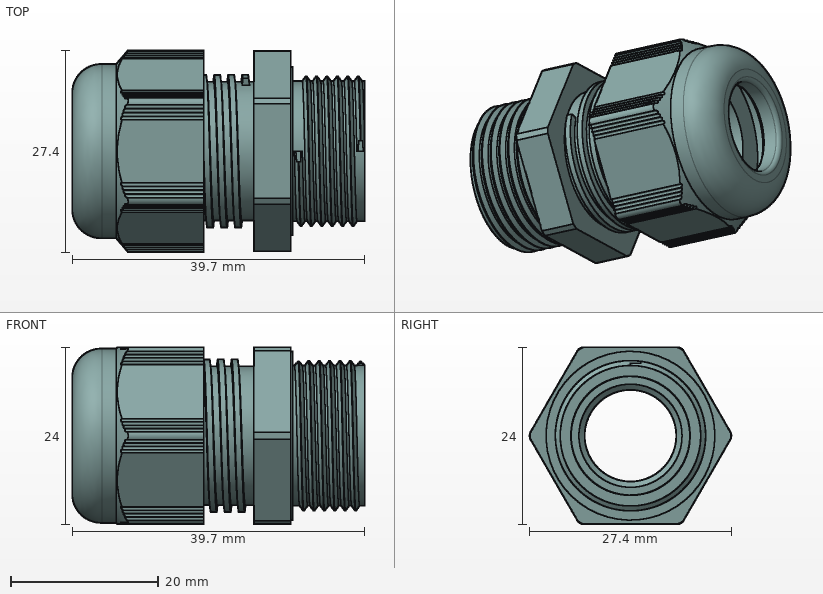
import cadquery as cq
import math


TOTAL_LENGTH = 39.73
ACROSS_FLATS = 24.0
HEX_APOTHEM = ACROSS_FLATS / 2
HEX_CORNER_DIAMETER = ACROSS_FLATS / math.cos(math.radians(30))
HEX_SIDES = 6

CAP_LENGTH = 17.9
DOME_DIAMETER = 23.7
DOME_FILLET = 4.0
DOME_LENGTH = 6.0
CAP_CONE_LENGTH = 1.75
CAP_CORNER_FILLET = 1.0
LIP_BORE_DIAMETER = 12.4
LIP_FILLET = 0.6
LIP_CYLINDER_END = 2.5
LIP_END = 3.2
LIP_FLARE_DIAMETER = 14.0
CAP_CAVITY_DIAMETER = 21.4
GROOVES_PER_BAND = 4
GROOVE_PITCH = 0.52
GROOVE_RADIUS = 0.24
GROOVE_BAND_CENTRE = 5.27

BODY_START = 8.4
NECK_DIAMETER = 18.87
HEX_START = 24.65
HEX_END = 29.7
HEX_CORNER_TRIM = 0.26
COLLAR_DIAMETER = 22.9
COLLAR_END = 29.95
SHANK_DIAMETER = 19.06
BODY_BORE_DIAMETER = 16.2

NECK_THREAD_DIAMETER = 20.75
NECK_THREAD_PITCH = 1.9
NECK_THREAD_TURNS = 4
NECK_THREAD_END = 23.58
NECK_THREAD_END_ANGLE = 18.0
NECK_THREAD_ROOT_WIDTH = 1.0
NECK_THREAD_CREST_WIDTH = 0.8

SHANK_THREAD_DIAMETER = 20.4
SHANK_THREAD_PITCH = 1.411
SHANK_THREAD_TURNS = 6
SHANK_THREAD_START = 30.7
SHANK_THREAD_ROOT_WIDTH = 1.08
SHANK_THREAD_CREST_WIDTH = 0.08
LEAD_LENGTH = 1.4
LEAD_HEIGHT_RATIO = 0.4

THREAD_SINK = 0.03

SEAL_START = 6.4
SEAL_FLANGE_DIAMETER = CAP_CAVITY_DIAMETER
SEAL_SLEEVE_DIAMETER = 16.1
SEAL_BORE_DIAMETER = 14.0
SEAL_END = 20.0


def cylinder(diameter, start, end):
    return cq.Workplane("YZ", origin=(start, 0, 0)).circle(diameter / 2).extrude(end - start)


def hexagon(start, end):
    """Hexagonal prism with flats facing +Z and -Z and corners on the Y axis."""
    face = cq.Workplane("YZ", origin=(start, 0, 0)).polygon(HEX_SIDES, HEX_CORNER_DIAMETER)
    return face.extrude(end - start)


def thread_ridge(base_diameter, height, root_width, crest_width, pitch, turns):
    """Right-hand helical ridge about Z, starting on the +X side at z = 0."""
    base_radius = base_diameter / 2
    flank_slope = (root_width - crest_width) / 2 / height
    sunk_half_width = root_width / 2 + flank_slope * THREAD_SINK
    inner = base_radius - THREAD_SINK
    outer = base_radius + height
    profile = (
        cq.Workplane("XZ")
        .moveTo(inner, -sunk_half_width)
        .lineTo(outer, -crest_width / 2)
        .lineTo(outer, crest_width / 2)
        .lineTo(inner, sunk_half_width)
        .close()
    )
    path = cq.Wire.makeHelix(pitch, pitch * turns, base_radius)
    return profile.sweep(cq.Workplane(path), isFrenet=True).val()


def place_thread(ridge, start, angle):
    """Lay a ridge along +X from `start`, beginning at `angle` degrees from +Y towards +Z."""
    direction = (0, math.cos(math.radians(angle)), math.sin(math.radians(angle)))
    return ridge.moved(cq.Location(cq.Plane((start, 0, 0), direction, (1, 0, 0))))


def make_cap():
    dome_radius = DOME_DIAMETER / 2
    cone_tip_radius = HEX_CORNER_DIAMETER / 2
    fillet_diagonal = DOME_FILLET * math.sqrt(0.5)
    envelope = (
        cq.Workplane("XY")
        .moveTo(0, 0)
        .lineTo(0, dome_radius - DOME_FILLET)
        .threePointArc(
            (DOME_FILLET - fillet_diagonal, dome_radius - DOME_FILLET + fillet_diagonal),
            (DOME_FILLET, dome_radius),
        )
        .lineTo(DOME_LENGTH, dome_radius)
        .lineTo(DOME_LENGTH + CAP_CONE_LENGTH, cone_tip_radius)
        .lineTo(CAP_LENGTH, cone_tip_radius)
        .lineTo(CAP_LENGTH, 0)
        .close()
        .revolve(360, (0, 0, 0), (1, 0, 0))
    )
    prism = hexagon(0, CAP_LENGTH).edges("|X").fillet(CAP_CORNER_FILLET)
    cap = envelope.intersect(prism).cut(grip_grooves())
    return cap.cut(cap_opening())


def grip_grooves():
    """Bands of fine round-bottomed grooves on both sides of every hex corner."""
    first = GROOVE_BAND_CENTRE - GROOVE_PITCH * (GROOVES_PER_BAND - 1) / 2
    band = [first + i * GROOVE_PITCH for i in range(GROOVES_PER_BAND)]
    places = [(side * y, HEX_APOTHEM) for side in (-1, 1) for y in band]
    one_flat = (
        cq.Workplane("YZ", origin=(DOME_LENGTH, 0, 0))
        .pushPoints(places)
        .circle(GROOVE_RADIUS)
        .extrude(CAP_LENGTH - DOME_LENGTH)
    )
    grooves = []
    for i in range(HEX_SIDES):
        turned = one_flat.rotate((0, 0, 0), (1, 0, 0), i * 360 / HEX_SIDES)
        grooves.extend(turned.vals())
    return cq.Workplane(cq.Compound.makeCompound(grooves))


def cap_opening():
    """Rounded lip, short bore, flare and the wide cavity behind them."""
    bore_radius = LIP_BORE_DIAMETER / 2
    lip_inset = LIP_FILLET * (1 - math.sqrt(0.5))
    return (
        cq.Workplane("XY")
        .moveTo(0, 0)
        .lineTo(0, bore_radius + LIP_FILLET)
        .threePointArc((lip_inset, bore_radius + lip_inset), (LIP_FILLET, bore_radius))
        .lineTo(LIP_CYLINDER_END, bore_radius)
        .lineTo(LIP_END, LIP_FLARE_DIAMETER / 2)
        .lineTo(LIP_END, CAP_CAVITY_DIAMETER / 2)
        .lineTo(CAP_LENGTH, CAP_CAVITY_DIAMETER / 2)
        .lineTo(CAP_LENGTH, 0)
        .close()
        .revolve(360, (0, 0, 0), (1, 0, 0))
    )


def make_body():
    body = cylinder(NECK_DIAMETER, BODY_START, HEX_START)
    body = body.union(body_hexagon())
    body = body.union(cylinder(COLLAR_DIAMETER, HEX_END, COLLAR_END))
    body = body.union(cylinder(SHANK_DIAMETER, COLLAR_END, TOTAL_LENGTH))
    body = body.cut(cylinder(BODY_BORE_DIAMETER, BODY_START, TOTAL_LENGTH))
    body = body.union(cq.Workplane(neck_thread()))
    return body.union(shank_thread())


def body_hexagon():
    """Hexagon whose corners are cut off flat."""
    trimmed_apothem = HEX_CORNER_DIAMETER / 2 - HEX_CORNER_TRIM
    trimming_diameter = 2 * trimmed_apothem / math.cos(math.radians(30))
    trimmer = (
        cq.Workplane("YZ", origin=(HEX_START, 0, 0))
        .transformed(rotate=(0, 0, 180 / HEX_SIDES))
        .polygon(HEX_SIDES, trimming_diameter)
        .extrude(HEX_END - HEX_START)
    )
    return hexagon(HEX_START, HEX_END).intersect(trimmer)


def neck_thread():
    height = (NECK_THREAD_DIAMETER - NECK_DIAMETER) / 2
    ridge = thread_ridge(
        NECK_DIAMETER, height, NECK_THREAD_ROOT_WIDTH, NECK_THREAD_CREST_WIDTH,
        NECK_THREAD_PITCH, NECK_THREAD_TURNS,
    )
    start = NECK_THREAD_END - NECK_THREAD_PITCH * NECK_THREAD_TURNS
    return place_thread(ridge, start, NECK_THREAD_END_ANGLE)


def shank_thread():
    """V ridge with both ends pointing to +Z and lowered to a flat-topped lead."""
    height = (SHANK_THREAD_DIAMETER - SHANK_DIAMETER) / 2
    ridge = thread_ridge(
        SHANK_DIAMETER, height, SHANK_THREAD_ROOT_WIDTH, SHANK_THREAD_CREST_WIDTH,
        SHANK_THREAD_PITCH, SHANK_THREAD_TURNS,
    )
    ridge = cq.Workplane(place_thread(ridge, SHANK_THREAD_START, 90))
    thread_end = SHANK_THREAD_START + SHANK_THREAD_PITCH * SHANK_THREAD_TURNS
    lead_top = SHANK_DIAMETER / 2 + height * LEAD_HEIGHT_RATIO
    ridge = ridge.cut(lead_cutter(SHANK_THREAD_START, -LEAD_LENGTH / 2, lead_top))
    return ridge.cut(lead_cutter(thread_end, LEAD_LENGTH / 2, lead_top))


def lead_cutter(x, y, bottom):
    """Block above `bottom` that removes the crest of one thread end."""
    cutter = cq.Workplane("XY", origin=(x, y, bottom))
    return cutter.rect(SHANK_THREAD_PITCH, LEAD_LENGTH).extrude(SHANK_THREAD_DIAMETER - SHANK_DIAMETER)


def make_seal():
    """Flange resting on the front of the neck, with a sleeve reaching into the body bore."""
    seal = cylinder(SEAL_FLANGE_DIAMETER, SEAL_START, BODY_START)
    seal = seal.union(cylinder(SEAL_SLEEVE_DIAMETER, BODY_START, SEAL_END))
    return seal.cut(cylinder(SEAL_BORE_DIAMETER, SEAL_START, SEAL_END))


cap = make_cap()
body = make_body()
seal = make_seal()

result = cq.Compound.makeCompound([cap.val(), body.val(), seal.val()])